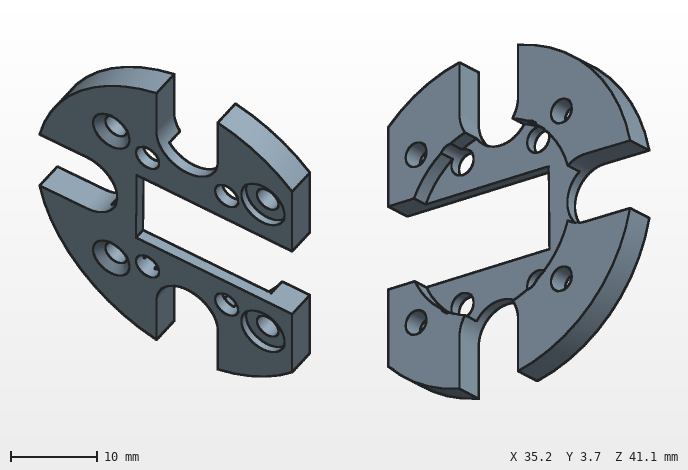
import cadquery as cq

thickness = 3.7
height = 41.15
right_edge = 14.65

notch_width = 8.5
notch_radius = notch_width / 2
notch_bottom = 9.75

disc_radius = ((height / 2) ** 2 + notch_radius**2) ** 0.5

opening_height = 10.45
opening_left = -7.07
opening_tilt = 0.5

recess_radius = 12.0
recess_depth = 2.22

screw_offset = 10.55
screw_diameter = 3.0
countersink_diameter = 5.05
countersink_depth = (countersink_diameter - screw_diameter) / 2
counterbore_diameter = 6.0
counterbore_depth = 1.0

plain_diameter = 3.2
plain_offset_x = 5.5
plain_offset_z = 9.05


def cylinder(x, z, diameter, start, depth):
    """Cylinder along +Y whose near end is at Y = start."""
    return cq.Workplane(cq.Solid.makeCylinder(
        diameter / 2, depth, cq.Vector(x, start, z), cq.Vector(0, 1, 0)))


def block(left, right, block_height):
    """Full-thickness block centred on Z = 0 between two X positions."""
    return cq.Workplane("XY").box(
        right - left, thickness, block_height, centered=(False, False, True)
    ).translate((left, 0, 0))


def notch(angle):
    """Notch pointing left, turned about the disc axis."""
    arc_centre = -(notch_bottom + notch_radius)
    slot = block(-2 * disc_radius, arc_centre, notch_width)
    slot = slot.union(cylinder(arc_centre, 0, notch_width, 0, thickness))
    return slot.rotate((0, 0, 0), (0, 1, 0), angle)


def countersink(x, z):
    """Cone narrowing from the front face down to the screw hole."""
    return cq.Workplane(cq.Solid.makeCone(
        countersink_diameter / 2, screw_diameter / 2, countersink_depth,
        cq.Vector(x, 0, z), cq.Vector(0, 1, 0)))


plate = cylinder(0, 0, 2 * disc_radius, 0, thickness)
plate = plate.intersect(block(-disc_radius, right_edge, 2 * disc_radius))

plate = plate.cut(cylinder(0, 0, 2 * recess_radius, thickness - recess_depth, recess_depth))

for notch_angle in (0, 90, -90):
    plate = plate.cut(notch(notch_angle))

opening = block(opening_left, 2 * disc_radius, opening_height)
plate = plate.cut(opening.rotate((0, 0, 0), (0, 1, 0), opening_tilt))

for side in (1, -1):
    screw_z = side * screw_offset
    for screw_x in (-screw_offset, screw_offset):
        plate = plate.cut(cylinder(screw_x, screw_z, screw_diameter, 0, thickness))
    plate = plate.cut(countersink(-screw_offset, screw_z))
    plate = plate.cut(cylinder(screw_offset, screw_z, counterbore_diameter, 0, counterbore_depth))
    for plain_x in (-plain_offset_x, plain_offset_x):
        plate = plate.cut(cylinder(plain_x, side * plain_offset_z, plain_diameter, 0, thickness))

result = plate